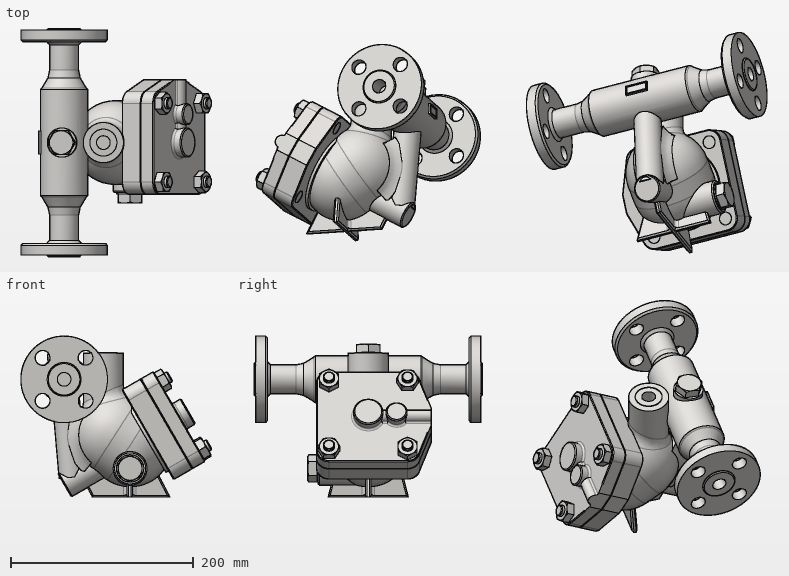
import cadquery as cq
import math


selection_margin = 0.2

overall_length = 250.0
flange_diameter = 95.0
flange_back = 110.2
flange_bevel = 2.2
raised_face_diameter = 37.0
raised_face_height = 1.8
raised_face_bevel = 1.2
neck_diameter = 32.0
neck_flare = 3.2
step_start = 79.2
step_end = 70.8
step_diameter = 35.5
barrel_diameter = 52.0
barrel_half_length = 58.0
barrel_bevel = 1.5
bolt_circle = 66.5
bolt_hole_diameter = 16.0
bolt_count = 4
first_bolt_angle = 45.0
bore_diameter = 15.0
bore_depth = 30.0

plate_length = 25.5
plate_height = 11.0
plate_face_x = -28.0
plate_border = 1.2
plate_recess = 0.8

leg_lean = 5.0
leg_diameter = 30.0
leg_length = 107.5
web_inner_radius = 39.8
web_inner_half = 23.2
web_outer_radius = 53.5
web_outer_half = 14.5
web_hollow = 1.8
web_above = 35.0
web_below = 50.0
plug_seat_diameter = 32.0
plug_seat_top = 28.5
plug_top = 37.8
plug_flats = 26.0

tilt = 30.0
cover_centre = -98.2
lower_boss_centre = -100.5
lower_boss_end = -57.5
lower_boss_bevel = 1.2

chamber_radius = 46.0
chamber_end_x = 72.5
chamber_end_z = -71.8
chamber_run = 20.0
chamber_fall = 32.7

top_boss_x = 43.0
top_boss_diameter = 44.0
top_boss_top = 28.8
top_boss_ring_diameter = 29.5
top_boss_ring_height = 0.8
top_boss_fillet = 13.8

joint_back = 49.0
joint_start = 72.2
joint_end = 73.5
cover_face = 89.0
cover_bevel = 1.0
gasket_diameter = 107.0
bolt_offset = 43.0
corner_radius = 13.8
ear_y = 69.0
ear_half_width = 10.5
ear_root_y = 52.8
skirt_diameter = 91.5
skirt_start = 45.5
throat_diameter = 81.5
throat_start = 27.5
stud_recess_diameter = 14.0
stud_recess_depth = 0.5
nut_flats = 21.0
nut_height = 9.0
other_nut_turn = 30.0
stud_diameter = 12.5
stud_tip = 102.0
stud_bevel = 1.0

cover_boss_top = 100.2
large_boss_diameter = 32.0
small_boss_diameter = 23.0
small_boss_y = 31.0
rib_diameter = 14.0
cover_boss_bevel = 1.2
boss_root_fillet = 2.2

drain_x = 72.2
drain_z = -97.5
drain_boss_diameter = 37.0
drain_boss_end = 54.8
drain_boss_bevel = 1.5
drain_gasket_diameter = 30.0
drain_plug_start = 56.2
drain_plug_end = 66.2

foot_bottom = -129.0
foot_top = -100.0
foot_x_min = 31.0
foot_x_max = 116.0
foot_centre_x = 71.8
foot_half_y = 44.0
foot_slope_x = 15.0
foot_slope_y = 7.5
foot_thickness = 6.0
foot_bevel = 1.8
foot_root_fillet = 3.8


def tilted_plane(along, across):
    """Plane square to the cover axis: local x is Y, local y climbs the slope, normal is the cover axis."""
    cos_t = math.cos(math.radians(tilt))
    sin_t = math.sin(math.radians(tilt))
    origin = (along * cos_t - across * sin_t, 0, along * sin_t + across * cos_t)
    return cq.Plane(origin=origin, xDir=(0, 1, 0), normal=(cos_t, 0, sin_t))


def place(shape, plane):
    """Move a shape drawn at the origin onto a plane."""
    return cq.Workplane(shape.val().moved(cq.Location(plane)))


def hexagon(plane, flats, height, turn=0):
    """Hexagonal head turned down to its flats; one corner lies on the plane's x axis before turning."""
    corners = flats / math.cos(math.pi / 6)
    turned_width = (corners - flats) / 2
    turned_depth = turned_width * math.tan(math.pi / 6)
    head = cq.Workplane("XY").transformed(rotate=(0, 0, turn)).polygon(6, corners).extrude(height)
    half_section = [
        (0, 0),
        (corners / 2, 0),
        (corners / 2, height - turned_depth),
        (flats / 2, height),
        (0, height),
    ]
    turned = cq.Workplane("XZ").polyline(half_section).close().revolve(360, (0, 0, 0), (0, 1, 0))
    return place(head.intersect(turned), plane)


def straight_pipe():
    half = overall_length / 2
    flange_face = half - raised_face_height
    half_profile = [
        (raised_face_diameter / 2 - raised_face_bevel, half),
        (raised_face_diameter / 2, half - raised_face_bevel),
        (raised_face_diameter / 2, flange_face),
        (flange_diameter / 2, flange_face),
        (flange_diameter / 2, flange_back + flange_bevel),
        (flange_diameter / 2 - flange_bevel, flange_back),
        (neck_diameter / 2 + neck_flare, flange_back),
        (neck_diameter / 2, flange_back - neck_flare),
        (neck_diameter / 2, step_start),
        (step_diameter / 2, step_end),
        (barrel_diameter / 2 - barrel_bevel, barrel_half_length + barrel_bevel),
        (barrel_diameter / 2, barrel_half_length),
    ]
    mirrored = [(r, -y) for r, y in reversed(half_profile)]
    outline = [(0, half)] + half_profile + mirrored + [(0, -half)]
    pipe = cq.Workplane("XY").polyline(outline).close().revolve(360, (0, 0, 0), (0, 1, 0))
    holes = (cq.Workplane("XZ", origin=(0, half, 0))
             .polarArray(bolt_circle / 2, first_bolt_angle, 360, bolt_count)
             .circle(bolt_hole_diameter / 2).extrude(half - flange_back))
    return pipe.cut(holes).cut(holes.mirror("XZ"))


def name_plate():
    plate = (cq.Workplane("YZ", origin=(plate_face_x, 0, 0)).rect(plate_length, plate_height)
             .extrude(-plate_face_x))
    recess = (cq.Workplane("YZ", origin=(plate_face_x, 0, 0))
              .rect(plate_length - 2 * plate_border, plate_height - 2 * plate_border).extrude(plate_recess))
    return plate.cut(recess)


def leg_plane(height):
    """Plane square to the leaning leg axis, which passes through the origin."""
    lean = math.radians(leg_lean)
    axis = (-math.sin(lean), 0, math.cos(lean))
    origin = (axis[0] * height, 0, axis[2] * height)
    return cq.Plane(origin=origin, xDir=(math.cos(lean), 0, math.sin(lean)), normal=axis)


def strainer_leg():
    return cq.Workplane(leg_plane(-leg_length)).circle(leg_diameter / 2).extrude(leg_length)


def leg_web():
    """Hollow-sided web wrapped round the first chamber ball, blending it into the leg."""
    start = chamber_axis_points()[0]
    middle_radius = (web_inner_radius + web_outer_radius) / 2
    middle_half = (web_inner_half + web_outer_half) / 2 - web_hollow
    web = (cq.Workplane("XY", origin=start)
           .moveTo(0, -web_inner_half)
           .lineTo(-web_inner_radius, -web_inner_half)
           .threePointArc((-middle_radius, -middle_half), (-web_outer_radius, -web_outer_half))
           .lineTo(-web_outer_radius, web_outer_half)
           .threePointArc((-middle_radius, middle_half), (-web_inner_radius, web_inner_half))
           .lineTo(0, web_inner_half)
           .close().revolve(web_above + web_below, (0, 0, 0), (0, -1, 0)))
    pivot_end = (start[0], 1, start[2])
    return web.rotate(start, pivot_end, web_above)


def top_plug():
    seat = cq.Workplane(leg_plane(0)).circle(plug_seat_diameter / 2).extrude(plug_seat_top)
    head = hexagon(leg_plane(plug_seat_top), plug_flats, plug_top - plug_seat_top)
    return seat.union(head)


def chamber_axis_points():
    """Centres of the two chamber balls and the direction from the first to the second."""
    fall = math.radians(chamber_fall)
    axis = (math.cos(fall), 0, -math.sin(fall))
    end = (chamber_end_x, 0, chamber_end_z)
    start = tuple(e - chamber_run * a for e, a in zip(end, axis))
    return start, end, axis


def chamber():
    start, end, axis = chamber_axis_points()
    ball = cq.Workplane("XY").sphere(chamber_radius)
    boss = (cq.Workplane("XY", origin=(top_boss_x, 0, start[2]))
            .circle(top_boss_diameter / 2).extrude(top_boss_top - start[2]))
    near_root = cq.selectors.BoxSelector(
        (top_boss_x - top_boss_diameter, -top_boss_diameter, start[2] + selection_margin),
        (top_boss_x + top_boss_diameter, top_boss_diameter, top_boss_top - selection_margin))
    bossed = ball.translate(start).union(boss).edges(near_root).edges("not %LINE").fillet(top_boss_fillet)
    joining = cq.Workplane(cq.Plane(start, (0, 1, 0), axis)).circle(chamber_radius).extrude(chamber_run)
    ring = (cq.Workplane("XY", origin=(top_boss_x, 0, top_boss_top))
            .circle(top_boss_ring_diameter / 2).extrude(top_boss_ring_height))
    return bossed.union(joining).union(ball.translate(end)).union(ring)


def lower_boss():
    return (cq.Workplane(tilted_plane(lower_boss_end, lower_boss_centre)).circle(leg_diameter / 2)
            .extrude(-lower_boss_end).faces("<X").chamfer(lower_boss_bevel))


def cover_block(height):
    """Square block with round corners and a tapered ear on its +Y side, drawn at the origin."""
    half = bolt_offset + corner_radius
    outline = [
        (-half, -half),
        (ear_root_y, -half),
        (ear_y, -ear_half_width),
        (ear_y, ear_half_width),
        (ear_root_y, half),
        (-half, half),
    ]
    block = cq.Workplane("XY").polyline(outline).close().extrude(height)
    return block.edges("(|Z) and (not >X)").fillet(corner_radius)


def cover_slab(start, end, bevelled_face):
    slab = cover_block(end - start).faces(bevelled_face).chamfer(cover_bevel)
    return place(slab, tilted_plane(start, cover_centre))


def disc(start, end, diameter):
    return cq.Workplane(tilted_plane(start, cover_centre)).circle(diameter / 2).extrude(end - start)


def cover_joint():
    """Body flange and cover with the gasket between them, the throat behind and shallow stud recesses."""
    joint = cover_slab(joint_back, joint_start, "<Z").union(cover_slab(joint_end, cover_face, ">Z"))
    joint = joint.union(disc(joint_start, joint_end, gasket_diameter))
    joint = joint.union(disc(skirt_start, joint_back, skirt_diameter))
    joint = joint.union(disc(throat_start, joint_back, throat_diameter))
    for y_side in (-1, 1):
        for slope_side in (-1, 1):
            across = cover_centre + slope_side * bolt_offset
            recess = (cq.Workplane(tilted_plane(joint_back, across)).center(y_side * bolt_offset, 0)
                      .circle(stud_recess_diameter / 2).extrude(stud_recess_depth))
            joint = joint.cut(recess)
    return joint


def nuts_and_studs():
    hardware = cq.Workplane("XY")
    for y_side in (-1, 1):
        for slope_side in (-1, 1):
            plane = tilted_plane(cover_face, cover_centre + slope_side * bolt_offset)
            plane.origin = plane.origin + cq.Vector(0, y_side * bolt_offset, 0)
            turn = 0 if y_side == slope_side else other_nut_turn
            stud = (cq.Workplane("XY").circle(stud_diameter / 2).extrude(stud_tip - cover_face)
                    .faces(">Z").chamfer(stud_bevel))
            hardware = hardware.union(hexagon(plane, nut_flats, nut_height, turn))
            hardware = hardware.union(place(stud, plane))
    return hardware


def cover_bosses():
    """Two round bosses and a half-round rib, rounded into a base that is sunk in the cover."""
    depth = cover_face - joint_end
    height = cover_boss_top - cover_face
    base_half = large_boss_diameter / 2 + 2 * boss_root_fillet
    base = cq.Workplane("XY").box(base_half + ear_y, 2 * base_half, depth, centered=(False, True, False))
    base = base.translate((-base_half, 0, -depth))
    large = cq.Workplane("XY").circle(large_boss_diameter / 2).extrude(height)
    small = cq.Workplane("XY").center(small_boss_y, 0).circle(small_boss_diameter / 2).extrude(height)
    rib = cq.Workplane("YZ").circle(rib_diameter / 2).extrude(ear_y)
    root_edges = cq.selectors.BoxSelector(
        (-base_half + selection_margin, -base_half + selection_margin, -selection_margin),
        (ear_y + selection_margin, base_half - selection_margin, selection_margin),
        boundingbox=True)
    raised = base.union(large).union(small).union(rib).edges(root_edges).fillet(boss_root_fillet)
    raised = raised.faces(">Z").chamfer(cover_boss_bevel)
    trim = cover_block(depth + height).translate((0, 0, -depth))
    return place(raised.intersect(trim), tilted_plane(cover_face, cover_centre))


def drain():
    """Side boss closed by a gasket and a hexagonal plug, facing -Y."""
    def section(y):
        return cq.Plane(origin=(drain_x, -y, drain_z), xDir=(0, 0, 1), normal=(0, -1, 0))

    boss = (cq.Workplane(section(0)).circle(drain_boss_diameter / 2).extrude(drain_boss_end)
            .faces("<Y").chamfer(drain_boss_bevel))
    gasket = cq.Workplane(section(0)).circle(drain_gasket_diameter / 2).extrude(drain_plug_start)
    head = hexagon(section(drain_plug_start), plug_flats, drain_plug_end - drain_plug_start)
    return boss.union(gasket).union(head)


def foot():
    """Two upright plates crossing under the chamber, both narrowing upwards."""
    long_plate = (cq.Workplane("XZ").polyline([
        (foot_x_min, foot_bottom),
        (foot_x_max, foot_bottom),
        (foot_x_max - foot_slope_x, foot_top),
        (foot_x_min - foot_slope_x, foot_top),
    ]).close().extrude(foot_thickness / 2, both=True))
    cross_plate = (cq.Workplane("YZ", origin=(foot_centre_x, 0, 0)).polyline([
        (-foot_half_y, foot_bottom),
        (foot_half_y, foot_bottom),
        (foot_half_y - foot_slope_y, foot_top),
        (foot_slope_y - foot_half_y, foot_top),
    ]).close().extrude(foot_thickness / 2, both=True))
    long_plate = long_plate.edges("not |Y").chamfer(foot_bevel)
    cross_plate = cross_plate.edges("not |X").chamfer(foot_bevel)
    plates = long_plate.union(cross_plate)
    roots = cq.selectors.BoxSelector(
        (foot_centre_x - foot_thickness, -foot_thickness, foot_bottom),
        (foot_centre_x + foot_thickness, foot_thickness, foot_top))
    return plates.edges(roots).edges("|Z").fillet(foot_root_fillet)


def bores():
    """Blind bores in both flange faces and in the top boss."""
    end = overall_length / 2
    near = cq.Workplane("XZ", origin=(0, -end, 0)).circle(bore_diameter / 2).extrude(-bore_depth)
    far = cq.Workplane("XZ", origin=(0, end, 0)).circle(bore_diameter / 2).extrude(bore_depth)
    top = (cq.Workplane("XY", origin=(top_boss_x, 0, top_boss_top + top_boss_ring_height))
           .circle(bore_diameter / 2).extrude(-bore_depth))
    return near.union(far).union(top)


result = (
    straight_pipe()
    .union(name_plate())
    .union(strainer_leg())
    .union(leg_web())
    .union(top_plug())
    .union(chamber())
    .union(lower_boss())
    .union(cover_joint())
    .union(nuts_and_studs())
    .union(cover_bosses())
    .union(drain())
    .union(foot())
    .cut(bores())
)